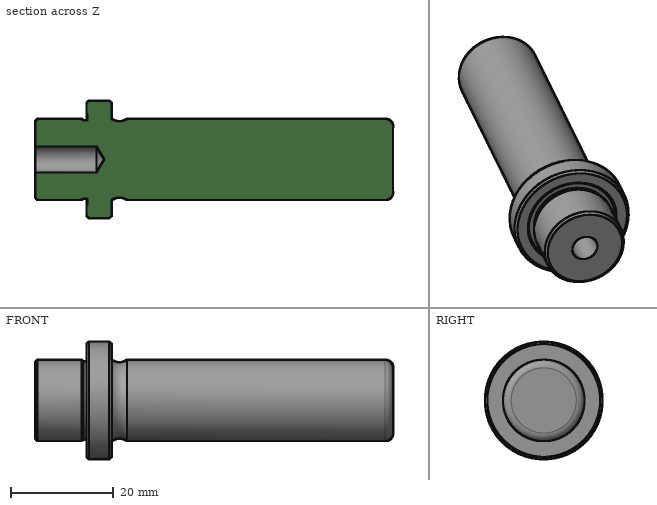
import cadquery as cq
import math

length = 70.0
shaft_radius = 8.0
flange_radius = 11.515

flange_start = 10.0
flange_end = 15.0
groove_width = 3.0

spigot_chamfer = 0.5
flange_chamfer = 0.5
tip_radius = 1.6

relief_width = 1.0
relief_depth = 0.3
relief_slope_length = 0.4
recess_depth = 0.2
recess_outer_radius = 8.95
recess_floor_radius = 8.7

groove_depth = 0.5

hole_radius = 2.5
hole_depth = 12.0
drill_point_angle = 118.0


def make_body():
    """Revolve the outer half profile (distance along the pin, radius) about X."""
    relief_start = flange_start - relief_width
    relief_radius = shaft_radius - relief_depth
    recess_floor = flange_start + recess_depth
    flange_rim = flange_radius - flange_chamfer
    groove_end = flange_end + groove_width
    groove_middle = flange_end + groove_width / 2
    groove_radius = shaft_radius - groove_depth
    round_middle = tip_radius * math.sqrt(0.5)
    round_start = length - tip_radius
    round_base = shaft_radius - tip_radius

    profile = (
        cq.Workplane("XZ")
        .moveTo(0, 0)
        .lineTo(0, shaft_radius - spigot_chamfer)
        .lineTo(spigot_chamfer, shaft_radius)
        .lineTo(relief_start, shaft_radius)
        .lineTo(relief_start + relief_slope_length, relief_radius)
        .lineTo(recess_floor, relief_radius)
        .lineTo(recess_floor, recess_floor_radius)
        .lineTo(flange_start, recess_outer_radius)
        .lineTo(flange_start, flange_rim)
        .lineTo(flange_start + flange_chamfer, flange_radius)
        .lineTo(flange_end - flange_chamfer, flange_radius)
        .lineTo(flange_end, flange_rim)
        .lineTo(flange_end, shaft_radius)
        .threePointArc((groove_middle, groove_radius), (groove_end, shaft_radius))
        .lineTo(round_start, shaft_radius)
        .threePointArc((round_start + round_middle, round_base + round_middle), (length, round_base))
        .lineTo(length, 0)
        .close()
    )
    return profile.revolve(360, (0, 0, 0), (1, 0, 0))


def make_hole():
    """Drilled hole with a conical bottom."""
    point_length = hole_radius / math.tan(math.radians(drill_point_angle / 2))
    profile = (
        cq.Workplane("XZ")
        .moveTo(0, 0)
        .lineTo(0, hole_radius)
        .lineTo(hole_depth, hole_radius)
        .lineTo(hole_depth + point_length, 0)
        .close()
    )
    return profile.revolve(360, (0, 0, 0), (1, 0, 0))


result = make_body().cut(make_hole()).translate((-length / 2, 0, 0))